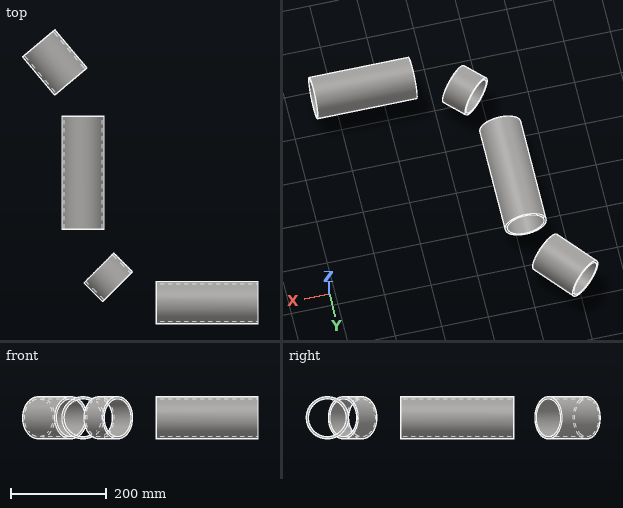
import cadquery as cq
import math

OVERALL_Y = 615.5

OUTER_DIAMETER = 88.5
WALL = 5.0

CORNER_SETBACK = 153.0
X_PIPE_LENGTH = 213.0
Y_PIPE_LENGTH = 237.0

CORNER_PIECE_LENGTH = 55.5
CORNER_PIECE_OFFSET = 53.0
CORNER_PIECE_ANGLE = -45.0

END_PIECE_LENGTH = 104.5
END_PIECE_X = -59.0
END_PIECE_ANGLE = 130.0
END_PIECE_TILT = math.radians(END_PIECE_ANGLE)
END_PIECE_SPAN_Y = (
    END_PIECE_LENGTH * abs(math.sin(END_PIECE_TILT))
    + OUTER_DIAMETER * abs(math.cos(END_PIECE_TILT))
)
END_PIECE_Y = OVERALL_Y - OUTER_DIAMETER / 2 - END_PIECE_SPAN_Y / 2


def tube(center_x, center_y, length, angle):
    """Open tube lying in the XY plane; angle is its axis direction in degrees from +X."""
    direction_x = math.cos(math.radians(angle))
    direction_y = math.sin(math.radians(angle))
    start = (
        center_x - direction_x * length / 2,
        center_y - direction_y * length / 2,
        0,
    )
    end_plane = cq.Plane(origin=start, xDir=(0, 0, 1), normal=(direction_x, direction_y, 0))
    outer_radius = OUTER_DIAMETER / 2
    return (
        cq.Workplane(end_plane)
        .circle(outer_radius)
        .circle(outer_radius - WALL)
        .extrude(length)
    )


x_pipe = tube(CORNER_SETBACK + X_PIPE_LENGTH / 2, 0, X_PIPE_LENGTH, 0)
y_pipe = tube(0, CORNER_SETBACK + Y_PIPE_LENGTH / 2, Y_PIPE_LENGTH, 90)
corner_piece = tube(CORNER_PIECE_OFFSET, CORNER_PIECE_OFFSET, CORNER_PIECE_LENGTH, CORNER_PIECE_ANGLE)
end_piece = tube(END_PIECE_X, END_PIECE_Y, END_PIECE_LENGTH, END_PIECE_ANGLE)

result = cq.Compound.makeCompound([
    x_pipe.val(),
    y_pipe.val(),
    corner_piece.val(),
    end_piece.val(),
])